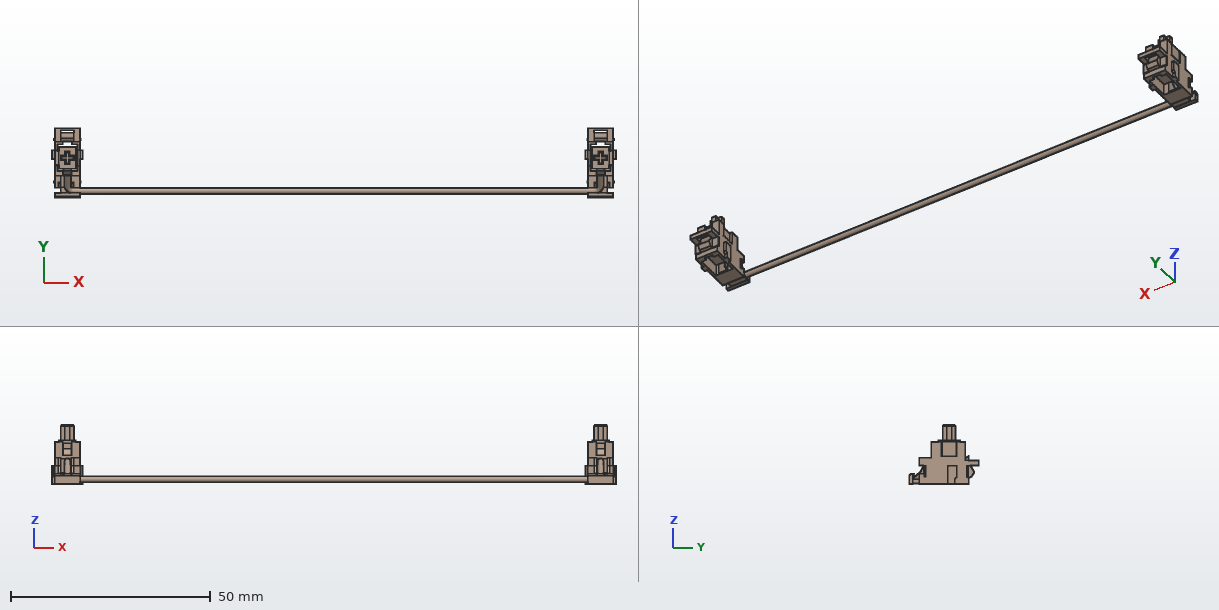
import cadquery as cq
import math


total_length = 141.2
height = 14.8
tab_span = 7.8
unit_x = (total_length - tab_span) / 2
front_y = -8.8
back_y = 8.8

body_width = 6.4
base_front_y = -6.2
base_back_y = 6.2
waist_front_y = -5.1
waist_back_y = 5.8
ledge_z = 4.7
flange_top_z = 5.9
shelf_top_z = 6.6
base_front_top_z = 2.5
base_back_top_z = 1.5
waist_slope_height = 0.3
tower_front_y = -3.2
tower_back_y = 5.4
tower_top_z = 10.6

stem_y = 1.3
stem_width = 4.2
stem_length = 5.5
stem_bottom_z = 2.8
stem_top_z = 11.0
stem_front_y = stem_y - stem_length / 2
cavity_width = 5.0
cavity_front_y = -2.0
cavity_back_y = 4.7
cross_width = 3.4
cross_length = 3.2
cross_arm = 1.3
cross_chamfer = 0.3

end_slot_width = 2.3
end_slot_bottom_z = 7.2
side_slot_length = 3.8
side_slot_bottom_z = 6.9
side_lug_length = 3.5
side_lug_outer_x = -3.1
tongue_width = 2.0
tongue_top_y = -2.0
tongue_top_z = 10.2
tongue_slope_top_z = 8.9
tongue_knee_y = -2.4
tongue_knee_z = 8.0
tongue_tip_y = -3.0

window_outer_x = -1.7
window_inner_x = 1.0
window_bottom_z = 0.4
window_top_z = 6.4
shelf_notch_outer_x = -2.3
shelf_notch_inner_x = 1.5
shelf_notch_y = -4.8

wire_diameter = 1.5
wire_y = base_front_y - wire_diameter / 2
wire_z = 1.2
wire_tilt = 38
wire_end_y = 0.7
wire_bend_radius = 1.7

hook_back_y = wire_y - wire_diameter / 2
hook_top_z = 2.5
hook_bevel = 0.4
lip_reach = 0.3
lip_height = 0.4
web_bottom_z = 0.1
web_overlap = 0.1

latch_width = 3.2
flange_opening_back_y = 8.2
latch_tip_y = 7.6
latch_tip_z = 3.0
latch_foot_y = 6.9
latch_shoulder_y = 6.6
latch_top_z = 7.0
latch_top_slope = 0.5

tab_front_y = 1.0
tab_back_y = 3.2
tab_foot_y = 2.7
tab_neck_z = 1.3
tab_neck_height = 0.5
rib_span = body_width + 0.4
rib_bottom_z = 1.8
front_rib_y = (-5.0, -4.5)
back_rib_y = (5.6, 6.0)


def block(x_range, y_range, z_range):
    """Box between the given limits."""
    sizes = [limits[1] - limits[0] for limits in (x_range, y_range, z_range)]
    corner = (x_range[0], y_range[0], z_range[0])
    return cq.Workplane("XY").box(*sizes, centered=False).translate(corner)


def centred(width):
    """X limits of a feature of this width, centred on x = 0."""
    return (-width / 2, width / 2)


def profile(points, width):
    """Outline in Y and Z, extruded along X and centred on x = 0."""
    return cq.Workplane("YZ").polyline(points).close().extrude(width / 2, both=True)


def make_wire():
    """Straight wire with a rising arm bent at each end, its tips inside the stems."""
    arm_run = wire_end_y - wire_y
    tilt = math.radians(wire_tilt)
    arm_length = arm_run / math.cos(tilt)
    path_plane = cq.Plane(
        origin=(0, wire_y, wire_z),
        xDir=(1, 0, 0),
        normal=(0, -math.sin(tilt), math.cos(tilt)),
    )
    bend_x = unit_x - wire_bend_radius
    bend_middle_x = bend_x + wire_bend_radius * math.sqrt(0.5)
    bend_middle_y = wire_bend_radius * (1 - math.sqrt(0.5))
    path = (
        cq.Workplane(path_plane)
        .moveTo(-unit_x, arm_length)
        .lineTo(-unit_x, wire_bend_radius)
        .threePointArc((-bend_middle_x, bend_middle_y), (-bend_x, 0))
        .lineTo(bend_x, 0)
        .threePointArc((bend_middle_x, bend_middle_y), (unit_x, wire_bend_radius))
        .lineTo(unit_x, arm_length)
    )
    end_plane = cq.Plane(
        origin=path_plane.toWorldCoords((-unit_x, arm_length)),
        xDir=(1, 0, 0),
        normal=path_plane.yDir * -1,
    )
    return cq.Workplane(end_plane).circle(wire_diameter / 2).sweep(path)


def housing_body():
    """Stepped block with a tower, a front shelf and a back flange."""
    outline = [
        (base_front_y, 0),
        (base_back_y, 0),
        (base_back_y, base_back_top_z),
        (waist_back_y, base_back_top_z + waist_slope_height),
        (waist_back_y, ledge_z),
        (back_y, ledge_z),
        (back_y, flange_top_z),
        (tower_back_y, flange_top_z),
        (tower_back_y, tower_top_z),
        (tower_front_y, tower_top_z),
        (tower_front_y, shelf_top_z),
        (base_front_y, shelf_top_z),
        (base_front_y, ledge_z),
        (waist_front_y, ledge_z),
        (waist_front_y, base_front_top_z),
        (base_front_y, base_front_top_z),
    ]
    return profile(outline, body_width)


def stem_cavity():
    """Shaft for the stem, with slots through all four tower walls."""
    cavity = block(centred(cavity_width), (cavity_front_y, cavity_back_y), (0, tower_top_z))
    slot_x = centred(end_slot_width)
    front_slot = block(slot_x, (tower_front_y, cavity_front_y), (end_slot_bottom_z, tower_top_z))
    back_slot = block(slot_x, (cavity_back_y, tower_back_y), (0, tower_top_z))
    side_slots = block(
        centred(body_width),
        (stem_y - side_slot_length / 2, stem_y + side_slot_length / 2),
        (side_slot_bottom_z, tower_top_z),
    )
    return cavity.union(front_slot).union(back_slot).union(side_slots)


def wire_passage():
    """Room for the wire arm through the shelf and the front wall."""
    window_x = (window_outer_x, window_inner_x)
    window = block(window_x, (base_front_y, cavity_front_y), (window_bottom_z, window_top_z))
    open_top = block(window_x, (base_front_y, tower_front_y), (window_bottom_z, shelf_top_z))
    shelf_notch = block(
        (shelf_notch_outer_x, shelf_notch_inner_x),
        (base_front_y, shelf_notch_y),
        (ledge_z, shelf_top_z),
    )
    return window.union(open_top).union(shelf_notch)


def front_catches():
    """Sloped catches under the front shelf, one piece until the wire window splits it."""
    outline = [
        (waist_front_y, base_front_top_z),
        (base_front_y, base_front_top_z),
        (waist_front_y, ledge_z),
    ]
    full_width = profile(outline, body_width)
    limits = block(
        (shelf_notch_outer_x, shelf_notch_inner_x),
        (base_front_y, waist_front_y),
        (base_front_top_z, ledge_z),
    )
    return full_width.intersect(limits)


def wire_hook():
    """Lipped plate in front of the wire, joined to the base by a web."""
    outline = [
        (front_y, 0),
        (front_y, hook_top_z - hook_bevel),
        (front_y + hook_bevel, hook_top_z),
        (hook_back_y + lip_reach, hook_top_z),
        (hook_back_y, hook_top_z - lip_height),
        (hook_back_y, 0),
    ]
    web = block(
        (window_outer_x, body_width / 2),
        (hook_back_y - web_overlap, base_front_y + web_overlap),
        (web_bottom_z, wire_z),
    )
    return profile(outline, body_width).union(web)


def flange_opening():
    """Hole in the back flange above the latch."""
    return block(
        centred(latch_width), (base_back_y, flange_opening_back_y), (ledge_z, flange_top_z)
    )


def back_latch():
    """Wedge with an upright tongue behind the tower."""
    outline = [
        (tower_back_y, base_back_top_z),
        (base_back_y, base_back_top_z),
        (latch_foot_y, base_back_top_z + waist_slope_height),
        (latch_tip_y, latch_tip_z),
        (latch_shoulder_y, ledge_z),
        (base_back_y, flange_top_z),
        (base_back_y, latch_top_z),
        (tower_back_y, latch_top_z - latch_top_slope),
    ]
    return profile(outline, latch_width)


def side_tabs():
    """Low pads standing out from both sides."""
    outline = [
        (tab_front_y, 0),
        (tab_front_y, ledge_z),
        (tab_back_y, ledge_z),
        (tab_back_y, tab_neck_z + tab_neck_height),
        (tab_foot_y, tab_neck_z),
        (tab_foot_y, 0),
    ]
    return profile(outline, tab_span)


def side_ribs():
    """Thin upright ribs on both sides, near the front and the back."""
    front_rib, back_rib = [
        block(centred(rib_span), rib_y, (rib_bottom_z, ledge_z))
        for rib_y in (front_rib_y, back_rib_y)
    ]
    return front_rib.union(back_rib)


def make_housing():
    """Left-hand housing around x = 0, before the wire channel is cut."""
    solid = housing_body().union(front_catches()).union(side_tabs()).union(side_ribs())
    solid = solid.cut(flange_opening()).union(back_latch())
    return solid.cut(stem_cavity()).cut(wire_passage()).union(wire_hook())


def stem_tongue():
    """Sloped key in the front slot of the tower."""
    outline = [
        (stem_front_y, tongue_top_z),
        (tongue_top_y, tongue_top_z),
        (tongue_top_y, tongue_slope_top_z),
        (tongue_knee_y, tongue_knee_z),
        (tongue_tip_y, end_slot_bottom_z),
        (stem_front_y, end_slot_bottom_z),
    ]
    return profile(outline, tongue_width)


def stem_cross():
    """Cross post that takes the keycap, with a chamfered top."""
    cross_z = (stem_top_z, height)
    half_length = cross_length / 2
    half_arm = cross_arm / 2
    wide_arm = block(centred(cross_width), (stem_y - half_arm, stem_y + half_arm), cross_z)
    long_arm = block(centred(cross_arm), (stem_y - half_length, stem_y + half_length), cross_z)
    return wide_arm.union(long_arm).faces(">Z").edges().chamfer(cross_chamfer)


def make_stem():
    """Stem around x = 0, before the wire socket is cut."""
    stem_limits_y = (stem_front_y, stem_y + stem_length / 2)
    core = block(centred(stem_width), stem_limits_y, (stem_bottom_z, stem_top_z))
    lug = block(
        (side_lug_outer_x, 0),
        (stem_y - side_lug_length / 2, stem_y + side_lug_length / 2),
        (side_slot_bottom_z, tower_top_z),
    )
    return core.union(lug).union(stem_tongue()).union(stem_cross())


def both_ends(body):
    """Left-hand copy with room for the wire, and its mirror image at the right."""
    left = body.translate((-unit_x, 0, 0)).cut(wire)
    return [left, left.mirror("YZ")]


wire = make_wire()
housings = both_ends(make_housing())
stems = both_ends(make_stem())

result = cq.Compound.makeCompound([body.val() for body in (wire, *housings, *stems)])